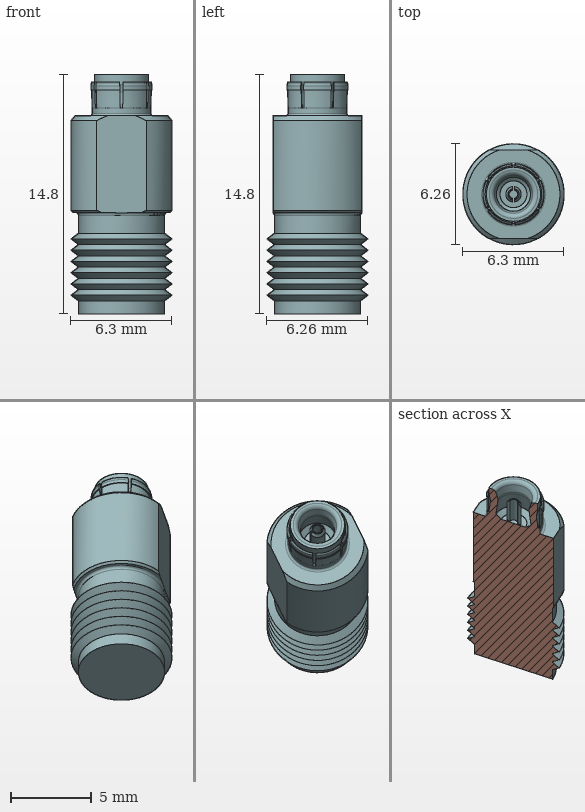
import cadquery as cq
import math

total_height = 14.85

barrel_radius = 2.67
thread_crest_radius = 3.13
thread_start_z = 0.82
thread_pitch = 0.7
thread_count = 6

body_radius = 3.15
body_bottom_z = 6.3
body_top_z = 12.3
body_top_chamfer_width = 0.27
body_top_chamfer_height = 0.31
body_bottom_chamfer = 0.13
body_fillet = 0.18
flat_distance = 5.5

collar_radius = 1.83
collar_inner_radius = 1.75
collar_base_fillet = 0.15
collar_top_z = 14.39
finger_root_z = 12.79
finger_upper_radius = 1.85
bead_radius = 1.9
bead_bottom_z = 13.9
bead_top_z = 14.14
lip_radius = 1.87
lip_round = 0.07
slot_count = 6
slot_bottom_width = 0.15
slot_top_width = 0.22

sleeve_radius = 1.68
groove_radius = 1.59
groove_top_z = 14.23
groove_deepest_z = 13.77
groove_bottom_z = 12.96

mouth_radius = 1.5
mouth_depth = 0.21
funnel_radius = 1.19
throat_radius = 1.05
throat_top_z = 14.14
throat_bottom_z = 13.97
chamber_radius = 1.19
chamber_bottom_z = 12.77
floor_radius = 0.83
floor_z = 12.47

pin_radius = 0.48
pin_tip_radius = 0.34
pin_taper_height = 0.22
pin_top_z = 14.25
pin_bore_radius = 0.27
pin_slit_width = 0.12


def revolve_profile(profile):
    """Turn a closed (radius, height) outline around the Z axis."""
    return profile.close().revolve(360, (0, 0, 0), (0, 1, 0))


def quarter_arc_middle(corner_radius, corner_z, size):
    """Middle of the arc filling an inside corner; a negative size puts the fillet below the corner."""
    inset = abs(size) * (1 - math.sqrt(0.5))
    return corner_radius + inset, corner_z + math.copysign(inset, size)


def make_barrel_and_body():
    """Threaded barrel, wrench body and the plain base of the collar."""
    profile = cq.Workplane("XZ").lineTo(barrel_radius, 0)
    for turn in range(thread_count):
        root_z = thread_start_z + turn * thread_pitch
        profile = profile.lineTo(barrel_radius, root_z)
        profile = profile.lineTo(thread_crest_radius, root_z + thread_pitch / 2)
    profile = (
        profile
        .lineTo(barrel_radius, thread_start_z + thread_count * thread_pitch)
        .lineTo(barrel_radius, body_bottom_z - body_fillet)
        .threePointArc(
            quarter_arc_middle(barrel_radius, body_bottom_z, -body_fillet),
            (barrel_radius + body_fillet, body_bottom_z),
        )
        .lineTo(body_radius - body_bottom_chamfer, body_bottom_z)
        .lineTo(body_radius, body_bottom_z + body_bottom_chamfer)
        .lineTo(body_radius, body_top_z - body_top_chamfer_height)
        .lineTo(body_radius - body_top_chamfer_width, body_top_z)
        .lineTo(collar_radius + collar_base_fillet, body_top_z)
        .threePointArc(
            quarter_arc_middle(collar_radius, body_top_z, collar_base_fillet),
            (collar_radius, body_top_z + collar_base_fillet),
        )
        .lineTo(collar_radius, finger_root_z)
        .lineTo(0, finger_root_z)
    )
    return revolve_profile(profile)


def make_flat_cutter():
    """Material outside the two wrench flats, over the body and its lower fillet."""
    cut_bottom_z = body_bottom_z - body_fillet
    cut_height = body_top_z - cut_bottom_z
    outer = cq.Workplane("XY").box(
        3 * body_radius, 3 * body_radius, cut_height, centered=(True, True, False)
    )
    between_flats = cq.Workplane("XY").box(
        3 * body_radius, flat_distance, cut_height, centered=(True, True, False)
    )
    return outer.cut(between_flats).translate((0, 0, cut_bottom_z))


def make_collar_fingers():
    """Beaded ring split into fingers by slots that widen upward."""
    round_inset = lip_round * (1 - math.sqrt(0.5))
    ring = revolve_profile(
        cq.Workplane("XZ")
        .moveTo(collar_inner_radius, finger_root_z)
        .lineTo(collar_radius, finger_root_z)
        .lineTo(finger_upper_radius, bead_bottom_z)
        .lineTo(bead_radius, bead_bottom_z)
        .lineTo(bead_radius, bead_top_z)
        .lineTo(lip_radius, collar_top_z - lip_round)
        .threePointArc(
            (lip_radius - round_inset, collar_top_z - round_inset),
            (lip_radius - lip_round, collar_top_z),
        )
        .lineTo(collar_inner_radius, collar_top_z)
    )
    slot = (
        cq.Workplane("XZ")
        .moveTo(-slot_bottom_width / 2, finger_root_z)
        .lineTo(slot_bottom_width / 2, finger_root_z)
        .lineTo(slot_top_width / 2, collar_top_z)
        .lineTo(-slot_top_width / 2, collar_top_z)
        .close()
        .extrude(body_radius)
    )
    for index in range(slot_count):
        ring = ring.cut(slot.rotate((0, 0, 0), (0, 0, 1), index * 360 / slot_count))
    return ring


def make_sleeve():
    """Solid sleeve with its tapered groove, before the socket is bored."""
    return revolve_profile(
        cq.Workplane("XZ")
        .moveTo(0, finger_root_z)
        .lineTo(sleeve_radius, finger_root_z)
        .lineTo(sleeve_radius, groove_bottom_z)
        .lineTo(groove_radius, groove_deepest_z)
        .lineTo(sleeve_radius, groove_top_z)
        .lineTo(sleeve_radius, total_height)
        .lineTo(0, total_height)
    )


def make_socket_cutter():
    """Rounded mouth, tapered funnel, short throat and a wider chamber below it."""
    mouth_width = mouth_radius - funnel_radius
    arc_radius = (mouth_width**2 + mouth_depth**2) / (2 * mouth_depth)
    half_sweep = math.atan2(mouth_depth, mouth_width)
    arc_middle = (
        mouth_radius - arc_radius * math.sin(half_sweep),
        total_height - arc_radius * (1 - math.cos(half_sweep)),
    )
    return revolve_profile(
        cq.Workplane("XZ")
        .moveTo(0, floor_z)
        .lineTo(floor_radius, floor_z)
        .lineTo(chamber_radius, chamber_bottom_z)
        .lineTo(throat_radius, throat_bottom_z)
        .lineTo(throat_radius, throat_top_z)
        .lineTo(funnel_radius, total_height - mouth_depth)
        .threePointArc(arc_middle, (mouth_radius, total_height))
        .lineTo(0, total_height)
    )


def make_pin():
    """Centre contact with a tapered tip, bored and slit along Y down to the socket floor."""
    pin_height = pin_top_z - floor_z
    floor_plane = cq.Workplane("XY", origin=(0, 0, floor_z))
    body = revolve_profile(
        cq.Workplane("XZ")
        .moveTo(0, floor_z)
        .lineTo(pin_radius, floor_z)
        .lineTo(pin_radius, pin_top_z - pin_taper_height)
        .lineTo(pin_tip_radius, pin_top_z)
        .lineTo(0, pin_top_z)
    )
    bore = floor_plane.circle(pin_bore_radius).extrude(pin_height)
    slit = floor_plane.rect(pin_slit_width, 3 * pin_radius).extrude(pin_height)
    return body.cut(bore).cut(slit)


result = (
    make_barrel_and_body()
    .cut(make_flat_cutter())
    .union(make_collar_fingers())
    .union(make_sleeve())
    .cut(make_socket_cutter())
    .union(make_pin())
)